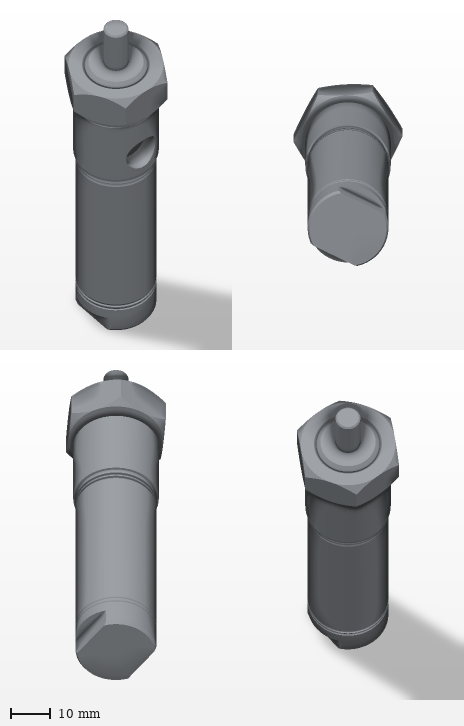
import cadquery as cq
import math

total_height = 100.8
collar_bottom = 56.4
collar_top = 75.4
nut_bottom = 77.6
nut_top = 87.4
neck_top = 88.3

body_radius = 10.2
collar_radius = 10.8
neck_radius = 8.0
neck_chamfer = 1.0
end_chamfer_height = 0.9
end_chamfer_width = end_chamfer_height * math.tan(math.radians(30))

groove_width = 0.9
groove_depth = 0.5
groove_land = 0.3
lower_grooves_bottom = 7.9
upper_grooves_bottom = 53.1

flats_height = 4.8
flats_across = 15.5

port_radius = 4.8
port_z = 63.5
port_depth = 5.0

nut_across_flats = 23.9
nut_across_corners = nut_across_flats / math.cos(math.radians(30))
nut_countersink = 0.6

rod_radius = 3.1
rod_chamfer = 0.4
rod_bottom = collar_top


def cylinder(radius, bottom, top):
    return cq.Workplane("XY").workplane(offset=bottom).circle(radius).extrude(top - bottom)


def revolve_profile(points):
    """Turn a closed (radius, z) outline around the Z axis."""
    return cq.Workplane("XZ").polyline(points).close().revolve(360, (0, 0, 0), (0, 1, 0))


def make_groove(bottom, wall_z):
    """Ring with a sawtooth section: a flat wall at wall_z and a cone out to the other edge."""
    return revolve_profile([
        (body_radius, bottom),
        (body_radius - groove_depth, wall_z),
        (body_radius, bottom + groove_width),
    ])


def cut_grooves(body):
    groove_pitch = groove_width + groove_land
    for groove_index in range(2):
        lower = lower_grooves_bottom + groove_index * groove_pitch
        upper = upper_grooves_bottom + groove_index * groove_pitch
        body = body.cut(make_groove(lower, wall_z=lower))
        body = body.cut(make_groove(upper, wall_z=upper + groove_width))
    return body


def make_wrench_flats():
    """Two blocks that leave parallel flats facing +Y and -Y."""
    block_depth = body_radius
    block_offset = (flats_across + block_depth) / 2
    return (
        cq.Workplane("XY")
        .pushPoints([(0, -block_offset), (0, block_offset)])
        .rect(2 * body_radius, block_depth)
        .extrude(flats_height)
    )


def make_port():
    return (
        cq.Workplane("YZ")
        .workplane(offset=collar_radius - port_depth)
        .center(0, port_z)
        .circle(port_radius)
        .extrude(port_depth)
    )


def make_body():
    body = revolve_profile([
        (0, 0),
        (body_radius - end_chamfer_width, 0),
        (body_radius, end_chamfer_height),
        (body_radius, collar_bottom),
        (collar_radius, collar_bottom),
        (collar_radius, collar_top),
        (neck_radius, collar_top),
        (neck_radius, neck_top - neck_chamfer),
        (neck_radius - neck_chamfer, neck_top),
        (0, neck_top),
    ])
    body = cut_grooves(body)
    rod_hole = cylinder(rod_radius, rod_bottom, neck_top)
    return body.cut(make_wrench_flats()).cut(make_port()).cut(rod_hole)


def make_nut():
    height = nut_top - nut_bottom
    hexagon = (
        cq.Workplane("XY")
        .workplane(offset=nut_bottom)
        .polygon(6, nut_across_corners)
        .extrude(height)
        .rotate((0, 0, 0), (0, 0, 1), 30)
    )
    corner_chamfer = (nut_across_corners - nut_across_flats) / 2
    corner_cones = cylinder(nut_across_corners / 2, nut_bottom, nut_top).edges().chamfer(corner_chamfer)
    nut = hexagon.intersect(corner_cones).cut(cylinder(neck_radius, nut_bottom, nut_top))
    bore_edges = cq.selectors.RadiusNthSelector(0)
    return nut.edges("%CIRCLE").edges(bore_edges).chamfer(nut_countersink)


def make_rod():
    return cylinder(rod_radius, rod_bottom, total_height).faces(">Z").chamfer(rod_chamfer)


body = make_body()
nut = make_nut()
rod = make_rod()

result = cq.Compound.makeCompound([body.val(), nut.val(), rod.val()])